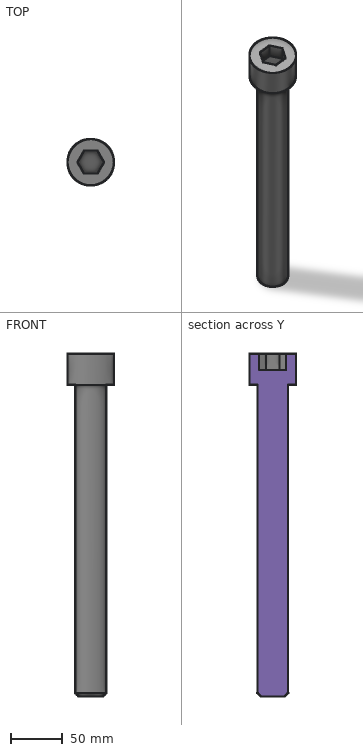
import cadquery as cq
import math

total_length = 330.0
shank_diameter = 30.0
head_diameter = 45.0
head_height = shank_diameter
tip_chamfer = 3.5
socket_across_flats = 22.0
socket_depth = 15.5

shank_length = total_length - head_height
socket_across_corners = socket_across_flats / math.cos(math.radians(30))

shank = cq.Workplane("XY").circle(shank_diameter / 2).extrude(shank_length)
shank = shank.faces("<Z").chamfer(tip_chamfer)

head = (
    cq.Workplane("XY", origin=(0, 0, shank_length))
    .circle(head_diameter / 2)
    .extrude(head_height)
)

socket = (
    cq.Workplane("XY", origin=(0, 0, total_length))
    .polygon(6, socket_across_corners)
    .extrude(-socket_depth)
)

result = shank.union(head).cut(socket)